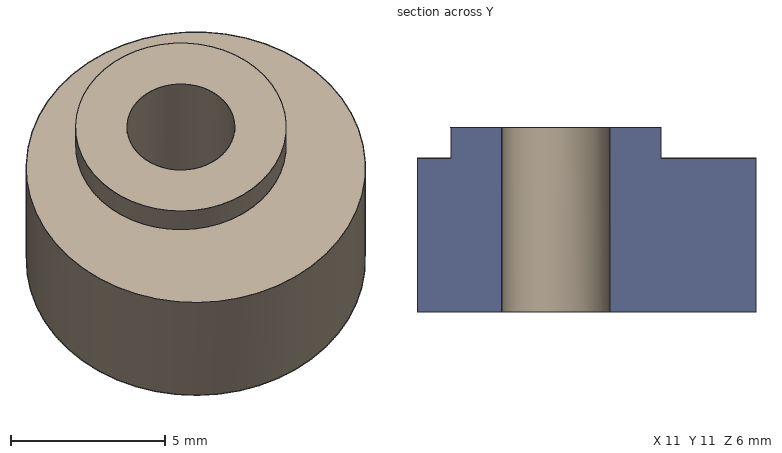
import cadquery as cq

body_diameter = 11.0
total_height = 6.0
boss_height = 1.0
boss_diameter = 6.83
bore_diameter = 3.5
eccentricity = 1.0

body_height = total_height - boss_height

body = cq.Workplane("XY").circle(body_diameter / 2).extrude(body_height)

boss = (
    cq.Workplane("XY", origin=(-eccentricity, 0, body_height))
    .circle(boss_diameter / 2)
    .extrude(boss_height)
)

bore = (
    cq.Workplane("XY", origin=(-eccentricity, 0, 0))
    .circle(bore_diameter / 2)
    .extrude(total_height)
)

result = body.union(boss).cut(bore)